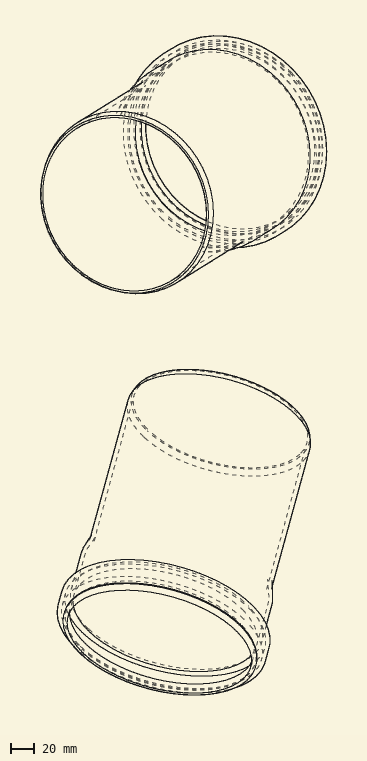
import cadquery as cq
import math

length = 225.0

spigot_radius = 160.2 / 2
pipe_bore_radius = 152.3 / 2
socket_radius = 168.0 / 2
socket_bore_radius = 161.0 / 2
bead_radius = 182.7 / 2
groove_radius = 175.5 / 2
lip_radius = 168.8 / 2

chamfer_length = 5.8
chamfer_depth = 2.0

lip_end = length - 4.7
bead_front = length - 5.6
bead_back = length - 25.5
bead_root = length - 26.3
cone_top = length - 63.5
cone_bottom = length - 78.0

bead_fillet = 3.2
lip_fillet = 1.0
wall = bead_radius - groove_radius
groove_front = bead_front - wall
groove_back = bead_back + wall


def arc_middle(center, radius, angle):
    """Point on a circle in the (radius, axis) half-plane."""
    turn = math.radians(angle)
    return (center[0] + radius * math.cos(turn), center[1] + radius * math.sin(turn))


def outer_body():
    """Spigot, cone, socket, seal bead and mouth lip as a solid."""
    fillet_center = bead_radius - bead_fillet
    back_center = (fillet_center, bead_back + bead_fillet)
    front_center = (fillet_center, bead_front - bead_fillet)
    lip_center = lip_radius - lip_fillet
    lip_back_center = (lip_center, lip_end + lip_fillet)
    lip_front_center = (lip_center, length - lip_fillet)
    return (
        cq.Workplane("XY")
        .moveTo(0, 0)
        .lineTo(spigot_radius - chamfer_depth, 0)
        .lineTo(spigot_radius, chamfer_length)
        .lineTo(spigot_radius, cone_bottom)
        .lineTo(socket_radius, cone_top)
        .lineTo(socket_radius, bead_root)
        .lineTo(fillet_center, bead_back)
        .threePointArc(arc_middle(back_center, bead_fillet, -45), (bead_radius, back_center[1]))
        .lineTo(bead_radius, front_center[1])
        .threePointArc(arc_middle(front_center, bead_fillet, 45), (fillet_center, bead_front))
        .lineTo(lip_center, bead_front)
        .lineTo(lip_center, lip_end)
        .threePointArc(arc_middle(lip_back_center, lip_fillet, -45), (lip_radius, lip_back_center[1]))
        .lineTo(lip_radius, lip_front_center[1])
        .threePointArc(arc_middle(lip_front_center, lip_fillet, 45), (lip_center, length))
        .lineTo(0, length)
        .close()
        .revolve(360, (0, 0, 0), (0, 1, 0))
    )


def inner_void():
    """Pipe bore, widened socket bore and the seal groove inside the bead."""
    return (
        cq.Workplane("XY")
        .moveTo(0, 0)
        .lineTo(pipe_bore_radius, 0)
        .lineTo(pipe_bore_radius, cone_bottom)
        .lineTo(socket_bore_radius, cone_top)
        .lineTo(socket_bore_radius, groove_back)
        .lineTo(groove_radius, groove_back)
        .lineTo(groove_radius, groove_front)
        .lineTo(socket_bore_radius, groove_front)
        .lineTo(socket_bore_radius, length)
        .lineTo(0, length)
        .close()
        .revolve(360, (0, 0, 0), (0, 1, 0))
    )


result = outer_body().cut(inner_void())